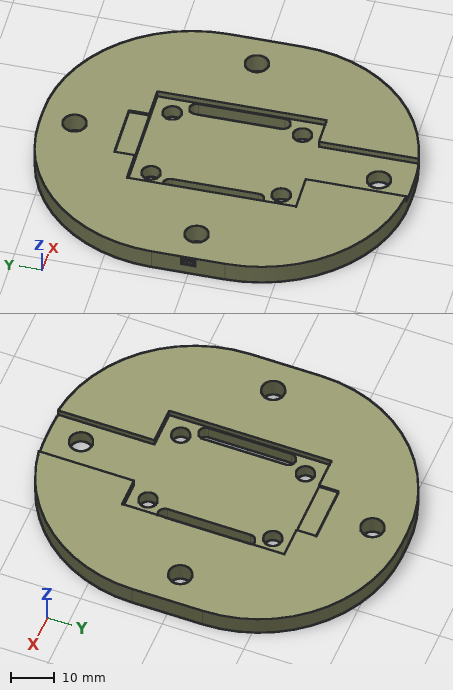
import cadquery as cq

WIDTH = 73.5
LENGTH = 87.3
THICKNESS = 5.0
CORNER_RADIUS = 35.0

POCKET_WIDTH = 29.15
POCKET_LENGTH = 39.7
POCKET_DEPTH = 1.6
CHANNEL_WIDTH = 12.65
CHANNEL_CENTER_X = 1.0
TAB_WIDTH = 14.0
TAB_LENGTH = 4.8
TAB_DEPTH = 0.5

MOUNT_DIAMETER = 5.5
MOUNT_X = 28.8
MOUNT_Y = 35.7
POCKET_HOLE_DIAMETER = 4.4
POCKET_HOLE_X = 10.1
POCKET_HOLE_Y = 15.3
SLOT_LENGTH = 23.65
SLOT_WIDTH = 3.3
SLOT_X = 12.65

SOCKET_WIDTH = 3.0
SOCKET_HEIGHT = 1.4
SOCKET_DEPTH = 1.0
SOCKET_CHAMFER = 0.2
SOCKET_CENTER_BELOW_TOP = 1.5


def make_plate():
    plate = cq.Workplane("XY").rect(WIDTH, LENGTH).extrude(THICKNESS)
    return plate.edges("|Z").fillet(CORNER_RADIUS)


def top_recess(x_size, y_min, y_max, depth, center_x=0):
    """Rectangular cutter reaching down from the top face."""
    return (
        cq.Workplane("XY", origin=(center_x, (y_min + y_max) / 2, THICKNESS - depth))
        .rect(x_size, y_max - y_min)
        .extrude(depth)
    )


def through_holes(points, diameter):
    return cq.Workplane("XY").pushPoints(points).circle(diameter / 2).extrude(THICKNESS)


def make_slots():
    return (
        cq.Workplane("XY")
        .pushPoints([(-SLOT_X, 0), (SLOT_X, 0)])
        .slot2D(SLOT_LENGTH, SLOT_WIDTH, 90)
        .extrude(THICKNESS)
    )


def make_socket():
    """Cutter running inward along +X, widened at the outer face."""
    mouth = cq.Workplane("YZ", origin=(-WIDTH / 2, 0, THICKNESS - SOCKET_CENTER_BELOW_TOP))
    bore = mouth.rect(SOCKET_WIDTH, SOCKET_HEIGHT).extrude(SOCKET_DEPTH)
    flare = (
        mouth.rect(SOCKET_WIDTH + 2 * SOCKET_CHAMFER, SOCKET_HEIGHT + 2 * SOCKET_CHAMFER)
        .workplane(offset=SOCKET_CHAMFER)
        .rect(SOCKET_WIDTH, SOCKET_HEIGHT)
        .loft(ruled=True)
    )
    return bore.union(flare)


pocket_end = POCKET_LENGTH / 2
pocket = top_recess(POCKET_WIDTH, -pocket_end, pocket_end, POCKET_DEPTH)
channel = top_recess(CHANNEL_WIDTH, -LENGTH / 2, -pocket_end, POCKET_DEPTH, CHANNEL_CENTER_X)
tab = top_recess(TAB_WIDTH, pocket_end, pocket_end + TAB_LENGTH, TAB_DEPTH)

mount_points = [(-MOUNT_X, 0), (MOUNT_X, 0), (0, -MOUNT_Y), (0, MOUNT_Y)]
pocket_hole_points = [
    (x_side * POCKET_HOLE_X, y_side * POCKET_HOLE_Y) for x_side in (-1, 1) for y_side in (-1, 1)
]

result = (
    make_plate()
    .cut(pocket)
    .cut(channel)
    .cut(tab)
    .cut(through_holes(mount_points, MOUNT_DIAMETER))
    .cut(through_holes(pocket_hole_points, POCKET_HOLE_DIAMETER))
    .cut(make_slots())
    .cut(make_socket())
)